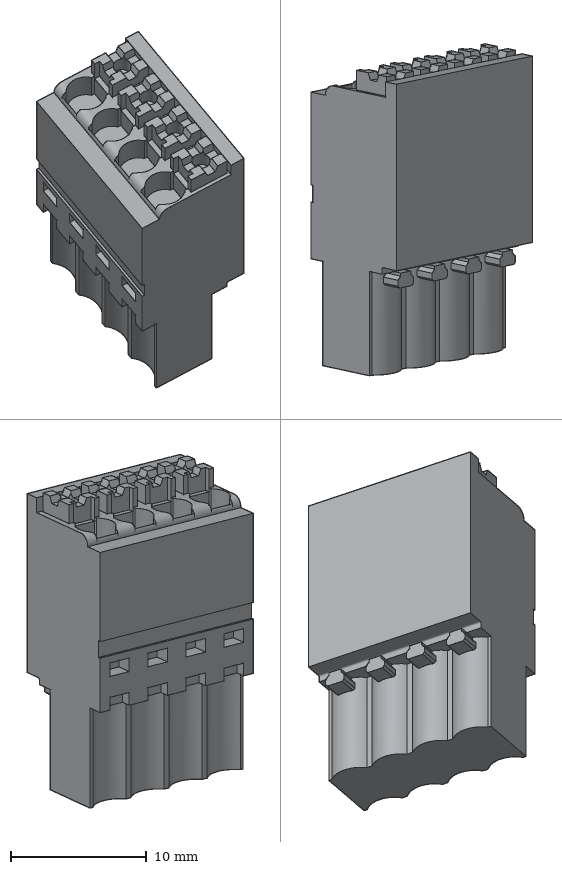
import cadquery as cq

pole_count = 4
pole_pitch = 3.5
pole_centres = [(i - (pole_count - 1) / 2) * pole_pitch for i in range(pole_count)]

width = 14.05
depth = 9.0
total_height = 22.7
plug_height = 7.85
block_back = 7.5
overhang_bottom = 8.35
overhang_fillet = 0.14
deck_height = 21.22
rear_ridge_height = 22.38
rear_ridge_front = 7.85
front_step_height = 20.4
shoulder_radius = deck_height - front_step_height
shoulder_front = 1.52
band_bottom = 12.12
band_top = 13.42
band_depth = 0.2

plug_front = 1.25
plug_back = 6.15
scallop_width = 3.05
scallop_depth = 0.68
rib_height = 0.61

key_back = 8.17
key_bottom = 6.75
key_height = plug_height - key_bottom
key_half_width = 0.8
key_neck_half_width = 0.52
key_chamfer = 0.15
key_slope_bottom = 0.61
key_slope_top = 0.89

pocket_width = 1.77
window_depth = plug_front
window_bottom = 10.49
window_top = 11.55
notch_depth = 0.8
notch_top = 8.85

upper_offset = 0.11
well_radius = 1.5
well_centre = 3.1
well_slot_width = 1.93
well_front = 1.63
well_floor = 19.07

button_width = 2.77
button_front = 4.52
button_back = 7.7
button_bottom = 20.9
button_recess_depth = 0.43
button_centre = 6.3
slot_depth = 0.52
slot_top_width = 1.11
slot_bottom_width = 0.65
button_hole_radius = 0.65


def box(x_centre, x_size, y_min, y_max, z_min, z_max):
    """Box centred on x_centre, spanning the given Y and Z ranges."""
    return (
        cq.Workplane("XY")
        .box(x_size, y_max - y_min, z_max - z_min, centered=(True, False, False))
        .translate((x_centre, y_min, z_min))
    )


def make_block():
    """Upper block: side profile extruded across the full width, with the rear overhang fillet."""
    arc_offset = shoulder_radius * (1 - 0.5 ** 0.5)
    profile = (
        cq.Workplane("YZ")
        .moveTo(0, plug_height)
        .lineTo(0, band_bottom)
        .lineTo(band_depth, band_bottom)
        .lineTo(band_depth, band_top)
        .lineTo(0, band_top)
        .lineTo(0, front_step_height)
        .lineTo(shoulder_front, front_step_height)
        .threePointArc(
            (shoulder_front + arc_offset, deck_height - arc_offset),
            (shoulder_front + shoulder_radius, deck_height),
        )
        .lineTo(rear_ridge_front, deck_height)
        .lineTo(rear_ridge_front, rear_ridge_height)
        .lineTo(depth, rear_ridge_height)
        .lineTo(depth, overhang_bottom)
        .lineTo(block_back + overhang_fillet, overhang_bottom)
        .radiusArc((block_back, overhang_bottom - overhang_fillet), -overhang_fillet)
        .lineTo(block_back, plug_height)
        .close()
    )
    return profile.extrude(width / 2, both=True)


def make_segment(x, y, rise):
    """Circular segment bulging by rise toward +Y from the line Y = y, as tall as the plug."""
    half = scallop_width / 2
    return (
        cq.Workplane("XY")
        .moveTo(x - half, y)
        .threePointArc((x, y + rise), (x + half, y))
        .close()
        .extrude(plug_height)
    )


def make_key(x):
    """Coding key: a necked, chamfered bar running back from the middle of the plug."""
    half_outline = [
        (key_half_width - key_chamfer, 0),
        (key_half_width, key_chamfer),
        (key_half_width, key_slope_bottom),
        (key_neck_half_width, key_slope_top),
        (key_neck_half_width, key_height),
    ]
    mirrored = [(-px, pz) for px, pz in reversed(half_outline)]
    return (
        cq.Workplane("XZ", origin=(x, key_back, key_bottom))
        .polyline(half_outline + mirrored)
        .close()
        .extrude(key_back - plug_back)
    )


def make_well(x):
    """Conductor well: a round shaft merged with a narrower rectangular slot."""
    shaft = (
        cq.Workplane("XY", origin=(x, well_centre, well_floor))
        .circle(well_radius)
        .extrude(deck_height - well_floor)
    )
    shaft = shaft.intersect(box(x, 2 * well_radius, well_front, button_front, well_floor, deck_height))
    slot = box(x, well_slot_width, well_front, button_front, well_floor, deck_height)
    return shaft.union(slot)


def make_button_blank(x):
    """Plain block of a push button, which also forms its seat in the housing."""
    return box(x, button_width, button_front, button_back, button_bottom, total_height)


def make_housing():
    housing = make_block().union(box(0, width, plug_front, plug_back, 0, plug_height))
    for x in pole_centres:
        housing = housing.cut(make_segment(x, plug_front, scallop_depth))
        housing = housing.union(make_segment(x, plug_back, rib_height)).union(make_key(x))
        housing = housing.cut(box(x, pocket_width, 0, window_depth, window_bottom, window_top))
        housing = housing.cut(box(x, pocket_width, 0, notch_depth, plug_height, notch_top))
        housing = housing.cut(make_well(x + upper_offset))
        housing = housing.cut(make_button_blank(x + upper_offset))
    return housing


def make_slot(plane, origin, length):
    """Trapezoidal groove centred on origin, cut down from the button top."""
    return (
        cq.Workplane(plane, origin=origin)
        .polyline([
            (-slot_top_width / 2, 0),
            (-slot_bottom_width / 2, -slot_depth),
            (slot_bottom_width / 2, -slot_depth),
            (slot_top_width / 2, 0),
        ])
        .close()
        .extrude(length, both=True)
    )


def make_button(x):
    """Push button sunk into its seat, with crossed slots, a central hole and a front recess."""
    button = make_button_blank(x)
    recess_back = button_front + button_recess_depth
    button = button.cut(box(x, well_slot_width, button_front, recess_back, button_bottom, total_height))
    top_centre = (x, button_centre, total_height)
    button = button.cut(make_slot("XZ", top_centre, button_back - button_front))
    button = button.cut(make_slot("YZ", top_centre, button_width))
    hole = (
        cq.Workplane("XY", origin=(x, button_centre, button_bottom))
        .circle(button_hole_radius)
        .extrude(total_height - button_bottom)
    )
    return button.cut(hole)


housing = make_housing()
buttons = [make_button(x + upper_offset) for x in pole_centres]

result = cq.Compound.makeCompound([housing.val(), *[button.val() for button in buttons]])